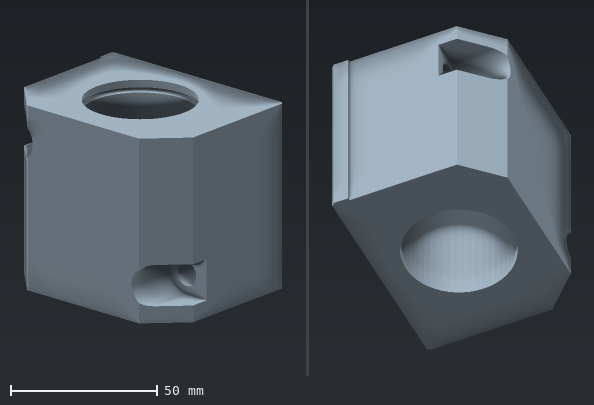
import cadquery as cq

width = 78.0
depth = 60.0
height = 67.0
front_chamfer = 13.0
back_chamfer = 1.0
locating_step = 1.0
locating_length = 6.5

bore_diameter = 40.0
groove_diameter = 46.0
groove_width = 1.9
groove_top_offset = 2.7

bolt_side_offset = 9.0
bolt_end_offset = 13.6
bolt_hole_diameter = 8.6
seat_width = 15.0
seat_depth = 20.0

right = width / 2
left = -right
back = depth / 2
front = -back
body_left = left + locating_step


def make_block():
    outline = [
        (left, back - locating_length),
        (left, back - back_chamfer),
        (left + back_chamfer, back),
        (right - back_chamfer, back),
        (right, back - back_chamfer),
        (right, front + front_chamfer),
        (right - front_chamfer, front),
        (body_left + front_chamfer, front),
        (body_left, front + front_chamfer),
        (body_left, back - locating_length),
    ]
    return cq.Workplane("XY").polyline(outline).close().extrude(height)


def make_bore():
    bore = cq.Workplane("XY").circle(bore_diameter / 2).extrude(height)
    groove = (
        cq.Workplane("XY")
        .workplane(offset=height - groove_top_offset - groove_width)
        .circle(groove_diameter / 2)
        .extrude(groove_width)
    )
    return bore.union(groove)


def make_bolt_seat(side, z):
    """Through hole and round-ended seat open to one side (-1 left, 1 right)."""
    x = side * (right - bolt_side_offset)
    front_plane = cq.Workplane("XZ", origin=(x, front, z))
    round_end = front_plane.circle(seat_width / 2).extrude(-seat_depth)
    side_opening = (
        front_plane.center(side * bolt_side_offset / 2, 0)
        .rect(bolt_side_offset, seat_width)
        .extrude(-seat_depth)
    )
    hole = front_plane.circle(bolt_hole_diameter / 2).extrude(-depth)
    return round_end.union(side_opening).union(hole)


result = make_block().cut(make_bore())
for side, z in [(-1, height - bolt_end_offset), (1, bolt_end_offset)]:
    result = result.cut(make_bolt_seat(side, z))